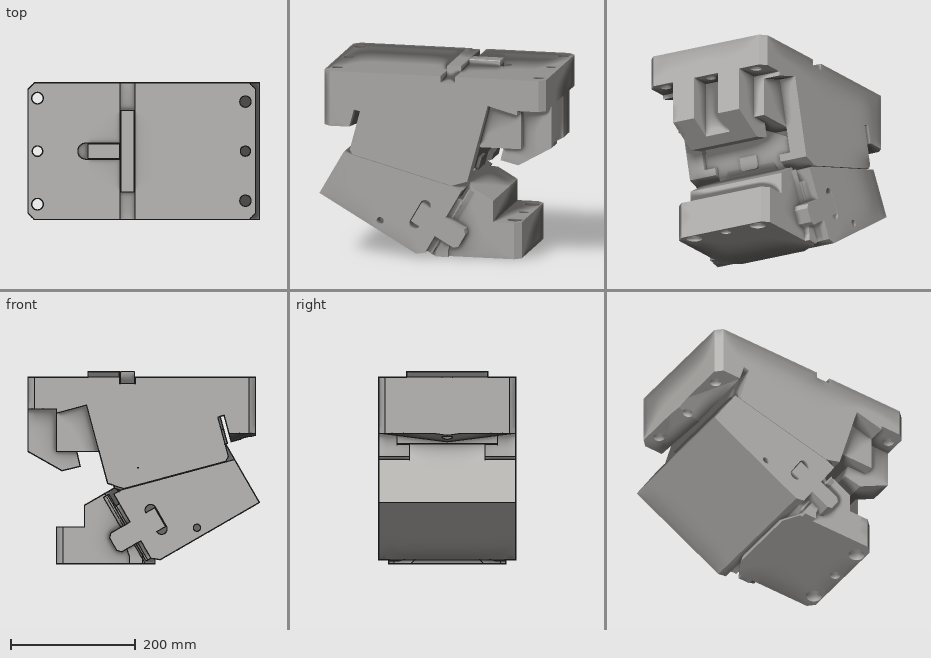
import cadquery as cq
import math

WIDTH = 220.0
HALF_WIDTH = WIDTH / 2
KEY_TOP_Z = 309.0
PLATE_TOP_Z = 300.0
MARGIN = 18.5

DRIVE_ANGLE = math.radians(15)
DRIVE_X, DRIVE_Z = 149.5, 118.5
DRIVE_GAP = 1.0

GUIDE_ANGLE = math.radians(60)
GUIDE_X, GUIDE_Z = 141.2, 123.5

PLATE_END_X = 365.5
PLATE_UNDER_Z = 249.0
PLATE_CHAMFER = 10.5
STEP_X = 45.7
BLOCK_UNDER_Z = 180.3
BLOCK_HALF = 81.0
HOOK_HALF = 62.5
HOOK_TIP_X, HOOK_TIP_Z = 54.5, 149.5
HOOK_BACK_X, HOOK_BACK_Z = 84.0, 156.5
HOOK_ROOT_X = 78.5
NOTCH_HALF, NOTCH_DEPTH = 22.5, 36.0
WALL_LEFT, WALL_RIGHT = -18.2, 180.3
WALL_TOP = 146.0
WALL_CORNER = 15.5
WALL_BEVEL_END = 5.0
WALL_END_BEVEL = 6.0
BLOCK_RIGHT = 184.5
BLOCK_SETBACK = 14.0
SLOT_RIGHT, SLOT_TOP = 190.5, 73.0
LIP_UNDER_Z = 209.5
LIP_RIDGE, LIP_EDGE = 29.0, 43.5
LEFT_HOLES_X, LEFT_HOLES_Y = 15.2, 85.0
RIGHT_HOLES_X, RIGHT_HOLES_Y = 349.0, 79.5
BOLT_DIA, DOWEL_DIA = 18.2, 16.5

GROOVE_X1, GROOVE_X2 = 147.5, 172.0
GROOVE_FLOOR_Z = 289.0
CROSS_KEY_X1, CROSS_KEY_X2 = 148.3, 171.5
CROSS_KEY_LENGTH = 131.0
SLOT_WIDTH = 26.0
KEY_SLOT_X = 80.0
LONG_KEY_X1, LONG_KEY_X2 = 96.3, 146.8
LONG_KEY_WIDTH = 25.3
KEY_BEVEL = 1.0

SLIDE_END_X = 371.5
SLIDE_LENGTH = 136.8
SLIDE_RIGHT = (GUIDE_X + SLIDE_LENGTH * math.cos(GUIDE_ANGLE) - SLIDE_END_X) / math.sin(GUIDE_ANGLE)
SLIDE_TOP = 8.5
WING_DEPTH = 8.5
WEB_DEPTH = 17.5
WING_INNER = 96.3
WEB_HALF = 92.5
WEB_BEVEL_DEPTH = 14.5
WEB_TOP = 26.0
CORNER_DEPTH, CORNER_ALONG = -3.0, 127.0
BAR_TOP, BAR_BOTTOM = 60.0, 94.8
BAR_DEPTH = 49.8
BAR_CHAMFER = 6.0
RELIEF_DEPTH, RELIEF_RADIUS = -29.7, 9.0
RELIEF_CUT = 24.0
BAR_END_GAP = 1.5
PIN_HOLE_X, PIN_HOLE_Z = 271.3, 58.0
PIN_HOLE_DIA, PIN_HOLE_CUT = 11.5, 22.3
NECK_HALF, NECK_HEIGHT = 60.2, 28.0
HEAD_HALF, HEAD_HEIGHT = 80.3, 51.5
HEAD_FLAT_HALF, HEAD_TOP = 37.0, 72.0
NECK_FOOT = 5.5
SIDE_GAP = 0.7
NECK_SETBACK = 8.5
GROOVE_RISE = 22.3
TAB_WIDTH, TAB_ROUND = 31.5, 5.2
TAB_THICKNESS = 4.5
TAB_UNDER, TAB_TOP = 13.5, 35.0

BASE_LEFT_X, BASE_RIGHT_X = 45.7, 204.0
BASE_HALF = 86.0
BASE_CHAMFER = 10.5
BASE_STEP_X, BASE_STEP_Z = 90.5, 59.5
RIDGE_HALF = 44.2
RIDGE_DROP = 20.8
FLANGE_HALF = 89.2
FLANGE_FRONT, FLANGE_TIP, FLANGE_BACK = 15.5, 18.0, 25.5
FLANGE_TOP = 4.5
FOOT_HALF = 94.0
FOOT_RIGHT_X = 183.5
FOOT_X, FOOT_CORNER_Z = 163.0, 11.0
FOOT_TOP_DEPTH = 34.5
BASE_HOLE_X, BASE_HOLE_Y = 60.2, 60.0
BASE_BOLT_DIA = 25.5


def drive_point(along, height):
    """X, Z of a point given along and above the drive plane."""
    cos, sin = math.cos(DRIVE_ANGLE), math.sin(DRIVE_ANGLE)
    return DRIVE_X + along * cos - height * sin, DRIVE_Z + along * sin + height * cos


def guide_point(depth, along):
    """X, Z of a point given as depth into the base and distance down the guide."""
    cos, sin = math.cos(GUIDE_ANGLE), math.sin(GUIDE_ANGLE)
    return GUIDE_X + along * cos - depth * sin, GUIDE_Z - along * sin - depth * cos


def band(points, y_low, y_high):
    """Extrude an X-Z outline from y_low to y_high."""
    plane = cq.Workplane("XZ", origin=(0, y_high, 0))
    return plane.polyline(points).close().extrude(y_high - y_low)


def both_sides(shape):
    return shape.union(shape.mirror("XZ"))


def wall_line_x(z, setback):
    """X on the tilted left wall face, set back by the given distance."""
    corner_x, corner_z = drive_point(WALL_LEFT + setback, 0)
    return corner_x - (z - corner_z) * math.tan(DRIVE_ANGLE)


def box(x1, x2, half_y, z1, z2):
    return cq.Workplane("XY").box(x2 - x1, 2 * half_y, z2 - z1).translate(
        ((x1 + x2) / 2, 0, (z1 + z2) / 2))


def drive_prism(section, start, length):
    """Extrude a section of (y, height) points along the drive plane."""
    x, z = drive_point(start, 0)
    along = (math.cos(DRIVE_ANGLE), 0, math.sin(DRIVE_ANGLE))
    plane = cq.Plane(origin=(x, 0, z), xDir=(0, 1, 0), normal=along)
    return cq.Workplane(plane).polyline(section).close().extrude(length)


def guide_prism(section, start, length):
    """Extrude a section of (y, depth) points down the guide."""
    x, z = guide_point(0, start)
    down = (math.cos(GUIDE_ANGLE), 0, -math.sin(GUIDE_ANGLE))
    plane = cq.Plane(origin=(x, 0, z), xDir=(0, 1, 0), normal=down)
    return cq.Workplane(plane).polyline([(y, -depth) for y, depth in section]).close().extrude(length)


def rail_head(left):
    """Roof-shaped head of the slide's rail, from a left end to the right block face."""
    section = [
        (-HEAD_HALF, NECK_HEIGHT),
        (-HEAD_HALF, HEAD_HEIGHT),
        (-HEAD_FLAT_HALF, HEAD_TOP),
        (HEAD_FLAT_HALF, HEAD_TOP),
        (HEAD_HALF, HEAD_HEIGHT),
        (HEAD_HALF, NECK_HEIGHT),
    ]
    return drive_prism(section, left, BLOCK_RIGHT - left)


def right_lip_outline():
    """Slot beside the block, the lip and the plate, ending at the top left corner."""
    sin, cos = math.sin(DRIVE_ANGLE), math.cos(DRIVE_ANGLE)
    slot_foot = (LIP_UNDER_Z - DRIVE_Z - SLOT_RIGHT * sin) / cos
    return [
        drive_point(SLOT_RIGHT, SLOT_TOP),
        drive_point(SLOT_RIGHT, slot_foot),
        (PLATE_END_X, LIP_UNDER_Z),
        (PLATE_END_X, PLATE_TOP_Z),
        (0, PLATE_TOP_Z),
    ]


def side_walls():
    step_along = (STEP_X - DRIVE_X + WALL_TOP * math.sin(DRIVE_ANGLE)) / math.cos(DRIVE_ANGLE)
    outline = [
        (0, PLATE_UNDER_Z),
        (STEP_X, PLATE_UNDER_Z),
        drive_point(step_along, WALL_TOP),
        drive_point(WALL_LEFT, WALL_TOP),
        drive_point(WALL_LEFT, WALL_CORNER),
        drive_point(WALL_BEVEL_END, DRIVE_GAP),
        drive_point(WALL_RIGHT - WALL_END_BEVEL, DRIVE_GAP),
        drive_point(WALL_RIGHT, DRIVE_GAP + WALL_END_BEVEL),
        drive_point(WALL_RIGHT, SLOT_TOP),
    ] + right_lip_outline()
    return both_sides(band(outline, -HALF_WIDTH, -BLOCK_HALF))


def wall_lips():
    """Inward lips that hold the head of the slide."""
    top = NECK_HEIGHT - SIDE_GAP
    outline = [
        drive_point(WALL_LEFT, top),
        drive_point(WALL_LEFT, WALL_CORNER),
        drive_point(WALL_BEVEL_END, DRIVE_GAP),
        drive_point(WALL_RIGHT - WALL_END_BEVEL, DRIVE_GAP),
        drive_point(WALL_RIGHT, DRIVE_GAP + WALL_END_BEVEL),
        drive_point(WALL_RIGHT, top),
    ]
    return both_sides(band(outline, -BLOCK_HALF, -NECK_HALF - SIDE_GAP))


def middle_block():
    outline = [
        (0, PLATE_UNDER_Z),
        (STEP_X, PLATE_UNDER_Z),
        (STEP_X, BLOCK_UNDER_Z),
        (wall_line_x(BLOCK_UNDER_Z, BLOCK_SETBACK), BLOCK_UNDER_Z),
        drive_point(WALL_LEFT + BLOCK_SETBACK, HEAD_HEIGHT),
        drive_point(BLOCK_RIGHT, HEAD_HEIGHT),
        drive_point(BLOCK_RIGHT, SLOT_TOP),
    ] + right_lip_outline()
    block = band(outline, -BLOCK_HALF, BLOCK_HALF)
    return block.cut(rail_head(WALL_LEFT))


def front_hook():
    outline = [
        (0, PLATE_UNDER_Z),
        (0, BLOCK_UNDER_Z),
        (HOOK_TIP_X, HOOK_TIP_Z),
        (HOOK_BACK_X, HOOK_BACK_Z),
        (HOOK_ROOT_X, BLOCK_UNDER_Z),
        (HOOK_ROOT_X, PLATE_UNDER_Z),
    ]
    notch = box(-MARGIN, NOTCH_DEPTH, NOTCH_HALF, 0, PLATE_UNDER_Z)
    return band(outline, -HOOK_HALF, HOOK_HALF).cut(notch)


def lip_ridge():
    """V-shaped underside of the right lip, parallel to the drive plane."""
    section = [(-HALF_WIDTH, LIP_EDGE), (0, LIP_RIDGE), (HALF_WIDTH, LIP_EDGE)]
    ridge = drive_prism(section, SLOT_RIGHT, PLATE_END_X - DRIVE_X)
    return ridge.intersect(box(0, PLATE_END_X, HALF_WIDTH, 0, LIP_UNDER_Z + MARGIN))


def plate_corners():
    """The plate footprint with its four corners chamfered."""
    footprint = box(0, PLATE_END_X, HALF_WIDTH, 0, PLATE_TOP_Z)
    return footprint.edges("|Z").chamfer(PLATE_CHAMFER)


def upright_holes(places, diameter):
    return cq.Workplane("XY").pushPoints(places).circle(diameter / 2).extrude(PLATE_TOP_Z)


def key_seats():
    groove = box(GROOVE_X1, GROOVE_X2, HALF_WIDTH, GROOVE_FLOOR_Z, PLATE_TOP_Z)
    round_x = KEY_SLOT_X + SLOT_WIDTH / 2
    slot = box(round_x, GROOVE_X1, SLOT_WIDTH / 2, GROOVE_FLOOR_Z, PLATE_TOP_Z)
    slot_end = cq.Workplane("XY", origin=(round_x, 0, GROOVE_FLOOR_Z)).circle(SLOT_WIDTH / 2)
    return groove.union(slot).union(slot_end.extrude(PLATE_TOP_Z - GROOVE_FLOOR_Z))


def keys():
    cross_key = box(CROSS_KEY_X1, CROSS_KEY_X2, CROSS_KEY_LENGTH / 2, GROOVE_FLOOR_Z, KEY_TOP_Z)
    long_key = box(LONG_KEY_X1, LONG_KEY_X2, LONG_KEY_WIDTH / 2, GROOVE_FLOOR_Z, KEY_TOP_Z)
    cross_key = cross_key.faces(">Z").edges("|Y").chamfer(KEY_BEVEL)
    return cross_key.union(long_key.faces(">Z").edges("|X").chamfer(KEY_BEVEL))


def make_upper():
    body = side_walls().union(middle_block()).union(wall_lips())
    body = body.union(front_hook()).union(lip_ridge())
    body = body.intersect(plate_corners())
    bolts = [(x, side * y) for side in (-1, 1)
             for x, y in ((LEFT_HOLES_X, LEFT_HOLES_Y), (RIGHT_HOLES_X, RIGHT_HOLES_Y))]
    dowels = [(LEFT_HOLES_X, 0), (RIGHT_HOLES_X, 0)]
    body = body.cut(upright_holes(bolts, BOLT_DIA)).cut(upright_holes(dowels, DOWEL_DIA))
    return body.cut(key_seats()).union(keys())


def ridge_section(back_depth):
    return [
        (-BASE_HALF, back_depth),
        (-BASE_HALF, RIDGE_DROP),
        (-RIDGE_HALF, 0),
        (RIDGE_HALF, 0),
        (BASE_HALF, RIDGE_DROP),
        (BASE_HALF, back_depth),
    ]


def base_block():
    roof_z = GUIDE_Z - (GUIDE_X - BASE_STEP_X) / math.tan(GUIDE_ANGLE)
    face_z = GUIDE_Z - (BASE_RIGHT_X - GUIDE_X) * math.tan(GUIDE_ANGLE)
    outline = [
        (BASE_LEFT_X, 0),
        (BASE_LEFT_X, BASE_STEP_Z),
        (BASE_STEP_X, BASE_STEP_Z),
        (BASE_STEP_X, roof_z),
        (GUIDE_X, GUIDE_Z),
        (BASE_RIGHT_X, face_z),
        (BASE_RIGHT_X, 0),
    ]
    block = band(outline, -BASE_HALF, BASE_HALF)
    block = block.edges("|Z and <X").chamfer(BASE_CHAMFER)
    guide = guide_prism(ridge_section(GUIDE_X + GUIDE_Z), -MARGIN, GUIDE_X + GUIDE_Z)
    return block.intersect(guide)


def flanges():
    section = [
        (-BASE_HALF, RIDGE_DROP),
        (-FLANGE_HALF, FLANGE_FRONT),
        (-FLANGE_HALF, FLANGE_TIP),
        (-BASE_HALF, FLANGE_BACK),
    ]
    flange = guide_prism(section, FLANGE_TOP, GUIDE_X + GUIDE_Z)
    return both_sides(flange.intersect(box(0, FOOT_RIGHT_X, HALF_WIDTH, 0, GUIDE_Z)))


def foot():
    """Wider foot below the hook bars."""
    offset = RIDGE_DROP * math.sin(GUIDE_ANGLE)
    outline = [
        (FOOT_X, 0),
        (FOOT_X, FOOT_CORNER_Z),
        guide_point(FOOT_TOP_DEPTH, BAR_BOTTOM),
        guide_point(RIDGE_DROP, BAR_BOTTOM),
        guide_point(RIDGE_DROP, (FOOT_RIGHT_X - GUIDE_X + offset) / math.cos(GUIDE_ANGLE)),
        (FOOT_RIGHT_X, 0),
    ]
    return band(outline, -FOOT_HALF, FOOT_HALF)


def base_holes():
    bolts = upright_holes([(BASE_HOLE_X, -BASE_HOLE_Y), (BASE_HOLE_X, BASE_HOLE_Y)], BASE_BOLT_DIA)
    return bolts.union(upright_holes([(BASE_HOLE_X, 0)], DOWEL_DIA))


def make_base():
    return base_block().union(flanges()).union(foot()).cut(base_holes())


def slide_block():
    """Full-width body between the drive plane, the guide and the lower face."""
    outline = [
        guide_point(WEB_DEPTH, SLIDE_TOP),
        (DRIVE_X, DRIVE_Z),
        drive_point(drive_length(0), 0),
        guide_point(SLIDE_RIGHT, SLIDE_LENGTH),
        guide_point(CORNER_DEPTH, SLIDE_LENGTH),
        guide_point(WING_DEPTH, CORNER_ALONG),
        guide_point(WEB_DEPTH, CORNER_ALONG),
    ]
    return band(outline, -HALF_WIDTH, HALF_WIDTH)


def drive_length(height):
    """Distance along the drive plane to the slide's right face, at a height above it."""
    corner_x, corner_z = guide_point(SLIDE_RIGHT, SLIDE_LENGTH)
    start_x, start_z = drive_point(0, height)
    guide_tan = math.tan(GUIDE_ANGLE)
    rise = corner_z - start_z + guide_tan * (corner_x - start_x)
    return rise / (math.sin(DRIVE_ANGLE) + guide_tan * math.cos(DRIVE_ANGLE))


def wing_cuts():
    """Material removed behind the wing faces, beveled towards the web."""
    back = WEB_DEPTH + MARGIN
    section = [
        (-HALF_WIDTH, WING_DEPTH),
        (-WING_INNER, WING_DEPTH),
        (-WEB_HALF, WEB_BEVEL_DEPTH),
        (-WEB_HALF, back),
        (-HALF_WIDTH, back),
    ]
    top_section = [
        (-HALF_WIDTH, WING_DEPTH),
        (HALF_WIDTH, WING_DEPTH),
        (HALF_WIDTH, back),
        (-HALF_WIDTH, back),
    ]
    return both_sides(guide_prism(section, 0, SLIDE_LENGTH)).union(guide_prism(top_section, 0, WEB_TOP))


def bar_outline(outer, inner):
    """Outline of a hook bar between two guide depths."""
    return [
        guide_point(outer, BAR_TOP),
        guide_point(outer, BAR_BOTTOM),
        guide_point(inner, BAR_BOTTOM),
        guide_point(inner, BAR_TOP),
    ]


def hook_bars():
    bar = band(bar_outline(BAR_DEPTH, RELIEF_DEPTH), -HALF_WIDTH, -BASE_HALF)
    return both_sides(bar.edges("|Y and <X or |Y and <Z").chamfer(BAR_CHAMFER))


def bar_reliefs():
    """Round-ended pocket around the inner end of each hook bar, less the bar itself."""
    centers = [guide_point(RELIEF_DEPTH, along) for along in (BAR_TOP, BAR_BOTTOM)]
    floor_y = RELIEF_CUT - HALF_WIDTH
    plane = cq.Workplane("XZ", origin=(0, floor_y, 0))
    pocket = plane.pushPoints(centers).circle(RELIEF_RADIUS).extrude(RELIEF_CUT)
    end = RELIEF_DEPTH - RELIEF_RADIUS
    pocket = pocket.union(band(bar_outline(0, end), -HALF_WIDTH, floor_y))
    return both_sides(pocket.cut(band(bar_outline(0, end + BAR_END_GAP), -HALF_WIDTH, floor_y)))


def pin_holes():
    plane = cq.Workplane("XZ", origin=(PIN_HOLE_X, PIN_HOLE_CUT - HALF_WIDTH, PIN_HOLE_Z))
    return both_sides(plane.circle(PIN_HOLE_DIA / 2).extrude(PIN_HOLE_CUT))


def slide_rail():
    """T-shaped rail on the slide: a neck and a wider head held by the wall lips."""
    left = WALL_LEFT + NECK_SETBACK
    neck = [
        drive_point(left, NECK_FOOT),
        drive_point(0, -DRIVE_GAP),
        drive_point(drive_length(-DRIVE_GAP), -DRIVE_GAP),
        drive_point(drive_length(NECK_HEIGHT), NECK_HEIGHT),
        drive_point(left, NECK_HEIGHT),
    ]
    return band(neck, -NECK_HALF, NECK_HALF).union(rail_head(left))


def rail_groove():
    """Guide groove carried on into the neck of the rail."""
    return guide_prism(ridge_section(WEB_DEPTH + MARGIN), -GROOVE_RISE, GROOVE_RISE)


def rail_tab():
    """Small tab on the left face of the rail, with rounded lower corners."""
    left = WALL_LEFT + NECK_SETBACK
    outline = [
        drive_point(left - TAB_THICKNESS, TAB_UNDER),
        drive_point(left - TAB_THICKNESS, TAB_TOP),
        drive_point(left + TAB_THICKNESS, TAB_TOP),
        drive_point(left + TAB_THICKNESS, TAB_UNDER),
    ]
    tab = band(outline, -TAB_WIDTH / 2, TAB_WIDTH / 2)
    return tab.faces("<Z").edges("not |Y").fillet(TAB_ROUND)


def make_slide(base):
    body = slide_block().cut(wing_cuts()).union(slide_rail())
    body = body.cut(rail_groove()).union(rail_tab())
    body = body.union(hook_bars()).cut(bar_reliefs()).cut(pin_holes())
    return body.cut(base)


upper = make_upper()
base = make_base()
slide = make_slide(base)

result = cq.Compound.makeCompound([upper.val(), base.val(), slide.val()])